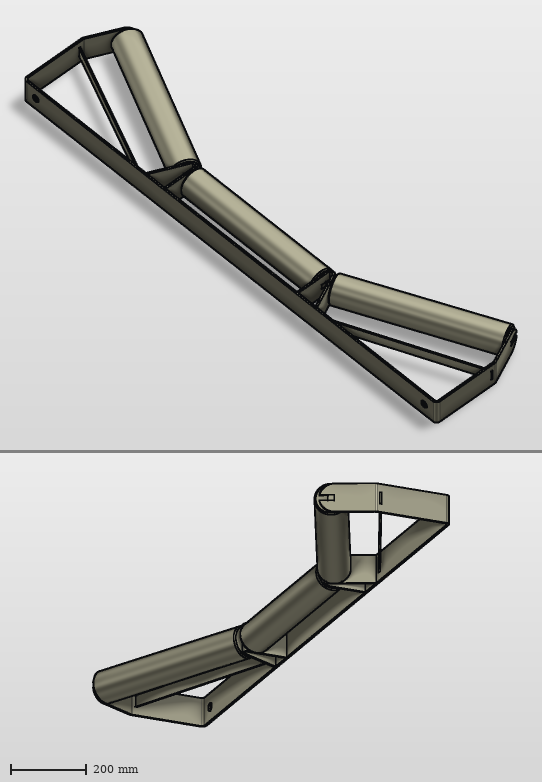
import cadquery as cq
import math

FRAME_LENGTH = 1600.0
STRAP_THICKNESS = 6.0
STRAP_HEIGHT = 80.0
BEND_RADIUS = 13.0
SIDE_HEIGHT = 216.0
FLANGE_LENGTH = 152.0
TROUGH_ANGLE = 25.0

BOLT_HOLE_DIAMETER = 22.0
BOLT_HOLE_X = 752.0

ROLLER_DIAMETER = 90.0
ROLLER_LENGTH = 500.0
ROLLER_CHAMFER = 4.0
ROLLER_GAP = 3.0
SHAFT_WIDTH = 16.0
SHAFT_DEPTH = 18.0
WING_AXIS_FROM_FOLD = 120.0
CENTRE_AXIS_Y = 100.0

BRACKET_TOP_Y = 126.0
BRACKET_BEND_RADIUS = 8.0

STRUT_THICKNESS = 5.0
STRUT_HEIGHT = 32.0
STRUT_TOP_Y = 203.0
STRUT_FOOT_X = -350.0

tilt = math.radians(TROUGH_ANGLE)
AXIS_DIRECTION = (math.cos(tilt), -math.sin(tilt))
SLOPE_DIRECTION = (math.sin(tilt), math.cos(tilt))

half_frame = FRAME_LENGTH / 2
shaft_reach = ROLLER_GAP + STRAP_THICKNESS
half_span = ROLLER_LENGTH / 2 + shaft_reach


def moved(point, direction, distance):
    return (point[0] + direction[0] * distance, point[1] + direction[1] * distance)


fold_point = (-half_frame, SIDE_HEIGHT)
flange_tip = moved(fold_point, SLOPE_DIRECTION, FLANGE_LENGTH)
wing_shaft_end = moved(fold_point, SLOPE_DIRECTION, WING_AXIS_FROM_FOLD)
wing_centre = moved(wing_shaft_end, AXIS_DIRECTION, half_span)


def mirrored(body):
    return body.mirror("YZ")


def upright(profile, height):
    """Extrude a closed XY profile to a body centred on Z = 0."""
    return profile.extrude(height).translate((0, 0, -height / 2))


def vertical_edges_at(body, points):
    """The vertical edges that pass through the given XY points."""
    tolerance = 0.2

    def is_wanted(edge):
        centre = edge.Center()
        return any(math.dist((centre.x, centre.y), point) < tolerance for point in points)

    return body.edges("|Z").filter(is_wanted)


def roller():
    """Roller along X, centred on the origin, with its flattened shaft ends."""
    barrel = (
        cq.Workplane("YZ")
        .circle(ROLLER_DIAMETER / 2)
        .extrude(ROLLER_LENGTH)
        .translate((-ROLLER_LENGTH / 2, 0, 0))
        .faces("<X or >X")
        .chamfer(ROLLER_CHAMFER)
    )
    shaft = cq.Workplane("XY").box(2 * half_span, SHAFT_DEPTH, SHAFT_WIDTH)
    return barrel.union(shaft)


def shaft_slots():
    """Cutter for the slots of a roller at the origin, tall enough to leave them open-topped."""
    cutter_height = ROLLER_DIAMETER
    cutter = cq.Workplane("XY").box(
        2 * half_span, cutter_height, SHAFT_WIDTH, centered=(True, False, True)
    )
    return cutter.translate((0, -SHAFT_DEPTH / 2, 0))


def on_left_wing(body):
    return body.rotate((0, 0, 0), (0, 0, 1), -TROUGH_ANGLE).translate((*wing_centre, 0))


def on_centre(body):
    return body.translate((0, CENTRE_AXIS_Y, 0))


def strut():
    """Left diagonal strut, flush with the frame's outer face and resting on its base."""
    rise = STRUT_TOP_Y - STRAP_THICKNESS
    run = STRUT_FOOT_X + half_frame
    half_cut_at_side = STRUT_THICKNESS / 2 * math.hypot(run, rise) / run
    half_cut_at_foot = STRUT_THICKNESS / 2 * math.hypot(run, rise) / rise
    outline = cq.Workplane("XY").polyline([
        (-half_frame, STRUT_TOP_Y - half_cut_at_side),
        (STRUT_FOOT_X - half_cut_at_foot, STRAP_THICKNESS),
        (STRUT_FOOT_X + half_cut_at_foot, STRAP_THICKNESS),
        (-half_frame, STRUT_TOP_Y + half_cut_at_side),
    ]).close()
    return upright(outline, STRUT_HEIGHT)


def flange_tip_waste():
    """Material outside the rounded tip of the left end flange."""
    radius = STRAP_HEIGHT / 2
    square_tip = cq.Workplane("XY").box(
        2 * STRAP_THICKNESS, radius, STRAP_HEIGHT, centered=(True, False, True)
    )
    rounded_tip = cq.Workplane("YZ").circle(radius).extrude(4 * STRAP_THICKNESS)
    waste = square_tip.cut(rounded_tip.translate((-2 * STRAP_THICKNESS, 0, 0)))
    tip_centre = moved(fold_point, SLOPE_DIRECTION, FLANGE_LENGTH - radius)
    tip_centre = moved(tip_centre, AXIS_DIRECTION, STRAP_THICKNESS / 2)
    return waste.rotate((0, 0, 0), (0, 0, 1), -TROUGH_ANGLE).translate((*tip_centre, 0))


def frame():
    """Base, sides and inclined end flanges bent from one strap."""
    inner_half = half_frame - STRAP_THICKNESS
    inner_fold = (-inner_half, SIDE_HEIGHT - STRAP_THICKNESS * math.tan(tilt / 2))
    inner_tip = moved(flange_tip, AXIS_DIRECTION, STRAP_THICKNESS)
    outer_corner = (-half_frame, 0)
    inner_corner = (-inner_half, STRAP_THICKNESS)
    outline = cq.Workplane("XY").polyline([
        (0, 0), outer_corner, fold_point, flange_tip,
        inner_tip, inner_fold, inner_corner, (0, STRAP_THICKNESS),
    ]).close()
    half = upright(outline, STRAP_HEIGHT)
    inner_radius = BEND_RADIUS - STRAP_THICKNESS
    half = vertical_edges_at(half, [outer_corner, fold_point]).fillet(BEND_RADIUS)
    half = vertical_edges_at(half, [inner_corner, inner_fold]).fillet(inner_radius)
    half = half.cut(flange_tip_waste())
    half = half.cut(on_left_wing(shaft_slots())).cut(strut())
    hole = (
        cq.Workplane("XZ").center(-BOLT_HOLE_X, 0)
        .circle(BOLT_HOLE_DIAMETER / 2).extrude(-STRAP_THICKNESS)
    )
    half = half.cut(hole)
    return half.union(mirrored(half))


def bracket():
    """Left folded bracket between the wing roller and the centre roller."""
    upright_x = -ROLLER_LENGTH / 2 - ROLLER_GAP
    wing_end = moved(wing_centre, AXIS_DIRECTION, half_span - STRAP_THICKNESS)

    def slope_x(y, inset):
        """X of the inclined leg at height y, measured inset from its roller-side face."""
        return wing_end[0] + (y - wing_end[1]) * math.tan(tilt) + inset / math.cos(tilt)

    base_y = STRAP_THICKNESS
    inner_top_y = BRACKET_TOP_Y - STRAP_THICKNESS
    inner_upright_x = upright_x - STRAP_THICKNESS
    top_corners = [(slope_x(BRACKET_TOP_Y, 0), BRACKET_TOP_Y), (upright_x, BRACKET_TOP_Y)]
    outline = cq.Workplane("XY").polyline([
        (slope_x(base_y, 0), base_y),
        *top_corners,
        (upright_x, base_y),
        (inner_upright_x, base_y),
        (inner_upright_x, inner_top_y),
        (slope_x(inner_top_y, STRAP_THICKNESS), inner_top_y),
        (slope_x(base_y, STRAP_THICKNESS), base_y),
    ]).close()
    body = upright(outline, STRAP_HEIGHT)
    body = vertical_edges_at(body, top_corners).fillet(BRACKET_BEND_RADIUS)
    return body.cut(on_left_wing(shaft_slots())).cut(on_centre(shaft_slots()))


left_bodies = [bracket(), strut(), on_left_wing(roller())]
bodies = [frame(), on_centre(roller())]
for body in left_bodies:
    bodies += [body, mirrored(body)]
result = cq.Compound.makeCompound([body.val() for body in bodies])